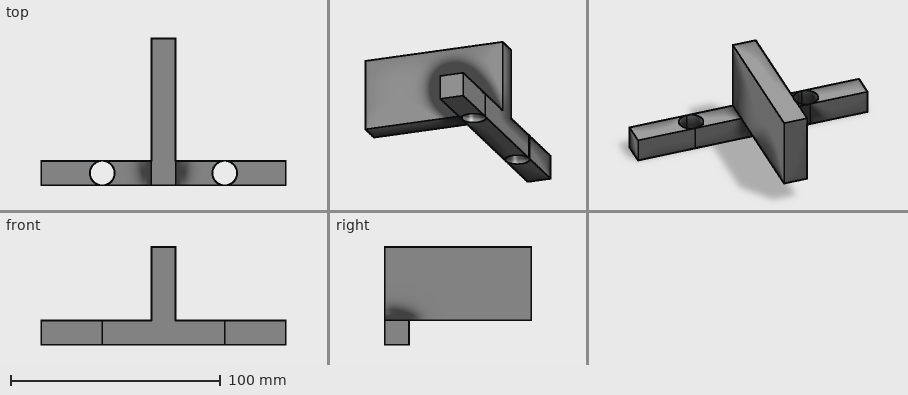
import cadquery as cq

bar_side = 11.688
bar_length = 10 * bar_side
plate_depth = 6 * bar_side
plate_height = 3 * bar_side
plate_thickness = bar_side

hole_diameter = bar_side
hole_x = bar_length / 4
hole_y = bar_side / 2


def bar_piece(start_x, end_x):
    """Square bar stretch between two X positions, front face at Y = 0 and base at Z = 0."""
    return cq.Workplane("XY").box(
        end_x - start_x, bar_side, bar_side, centered=False
    ).translate((start_x, 0, 0))


def cut_holes(body):
    """Cut the two vertical through holes from a body."""
    holes = (
        cq.Workplane("XY")
        .pushPoints([(-hole_x, hole_y), (hole_x, hole_y)])
        .circle(hole_diameter / 2)
        .extrude(bar_side)
    )
    return body.cut(holes)


def bar_end(side):
    """Bar end outside a hole, with a half-round inner face; side is -1 (left) or 1 (right)."""
    inner_x = side * hole_x
    outer_x = side * bar_length / 2
    return cut_holes(bar_piece(min(inner_x, outer_x), max(inner_x, outer_x)))


def plate_and_middle():
    """Middle of the bar, with the upright plate standing on it and reaching out behind."""
    middle = cut_holes(bar_piece(-hole_x, hole_x))
    plate = cq.Workplane("XY").box(
        plate_thickness, plate_depth, plate_height, centered=(True, False, False)
    ).translate((0, 0, bar_side))
    return middle.union(plate, clean=False)


plate_body = plate_and_middle()
bar_ends = [bar_end(side) for side in (-1, 1)]

result = cq.Compound.makeCompound([plate_body.solids().val(), *[end.solids().val() for end in bar_ends]])